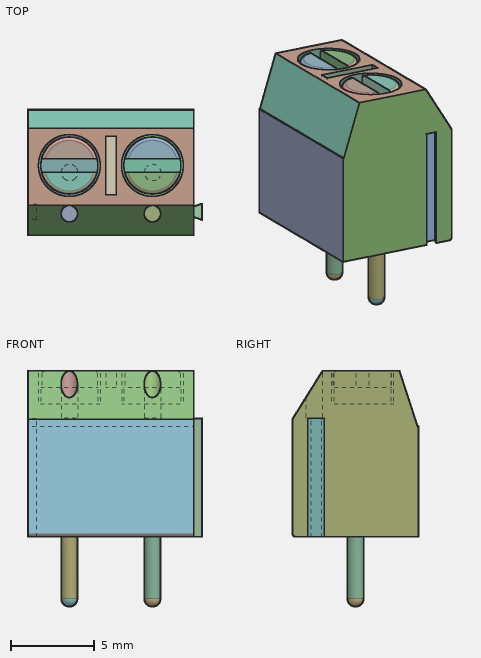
import cadquery as cq


pitch = 5.0
poles = 2
width = poles * pitch
depth = 7.6
height = 10.0
front_wall_height = 7.09
front_slope_run = 1.82
back_wall_height = 6.65
back_slope_run = 1.1
back_ledge = 0.05
bottom_round = 0.2

pin_radius = 0.5
overall_height = 14.2
pin_length = overall_height - height
pin_root = 0.5
pin_y = depth / 2

screw_y = 4.2
well_radius = 1.86
well_depth = 1.99
screw_radius = 1.72
screw_round = 0.2
drive_slot_width = 0.8
drive_slot_depth = 1

divider_width = 0.64
divider_length = 3.52
divider_depth = 1

probe_radius = 0.5
probe_y = 1.3
probe_depth = 2.84

dovetail_y = 1.42
dovetail_neck = 0.65
dovetail_tip = 1
dovetail_reach = 0.5
dovetail_height = 7.13

pole_centres = [(i + 0.5) * pitch for i in range(poles)]


def disc(x, y, radius, bottom, top):
    """Upright cylinder between two heights."""
    return cq.Workplane("XY", origin=(x, y, bottom)).circle(radius).extrude(top - bottom)


def top_slot(x, size_x, size_y, slot_depth):
    """Rectangular cutter sunk from the top, centred on the row of screws."""
    outline = cq.Workplane("XY", origin=(x, screw_y, height)).rect(size_x, size_y)
    return outline.extrude(-slot_depth)


def housing():
    """Sloped-shouldered block with a ledge under the back slope and a rounded lower front edge."""
    profile = [
        (0, 0),
        (depth, 0),
        (depth, back_wall_height),
        (depth - back_ledge, back_wall_height),
        (depth - back_ledge - back_slope_run, height),
        (front_slope_run, height),
        (0, front_wall_height),
    ]
    block = cq.Workplane("YZ").polyline(profile).close().extrude(width)
    return block.edges("<Y and <Z").fillet(bottom_round)


def pin(x):
    """Round pin with a hemispherical end, sunk a short way into the underside."""
    tip_centre = pin_radius - pin_length
    shaft = disc(x, pin_y, pin_radius, tip_centre, pin_root)
    tip = cq.Workplane("XY", origin=(x, pin_y, tip_centre)).sphere(pin_radius)
    return shaft.union(tip)


def screw(x):
    """Slotted screw head standing on the floor of its well."""
    head = disc(x, screw_y, screw_radius, height - well_depth, height)
    head = head.faces(">Z").edges().fillet(screw_round)
    drive_slot = top_slot(x, 2 * screw_radius, drive_slot_width, drive_slot_depth)
    return head.cut(drive_slot)


def dovetail(x):
    """Upright dovetail bar that widens from its neck at x toward +X."""
    outline = [
        (x, dovetail_y - dovetail_neck / 2),
        (x + dovetail_reach, dovetail_y - dovetail_tip / 2),
        (x + dovetail_reach, dovetail_y + dovetail_tip / 2),
        (x, dovetail_y + dovetail_neck / 2),
    ]
    return cq.Workplane("XY").polyline(outline).close().extrude(dovetail_height)


result = housing().cut(dovetail(0)).union(dovetail(width))

for pole_x in pole_centres:
    result = result.cut(disc(pole_x, screw_y, well_radius, height - well_depth, height))
    result = result.union(screw(pole_x))
    result = result.cut(disc(pole_x, probe_y, probe_radius, height - probe_depth, height))
    result = result.union(pin(pole_x))

for i in range(1, poles):
    result = result.cut(top_slot(i * pitch, divider_width, divider_length, divider_depth))